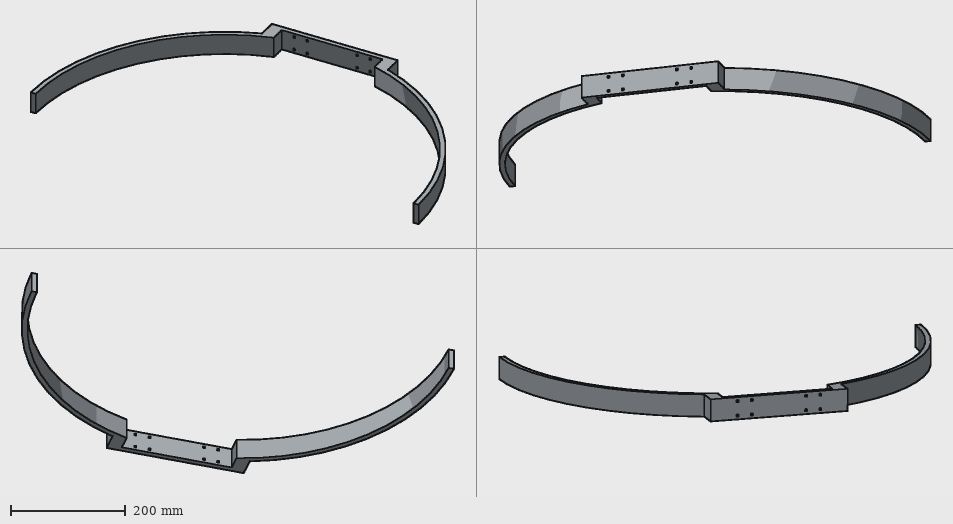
import cadquery as cq
import math

outer_radius = 385.0
band_thickness = 10.0
inner_radius = outer_radius - band_thickness
height = 40.0

bracket_back_y = 400.0
bracket_wall = 10.0
pocket_width = 200.0
side_wall = 25.0
bracket_width = pocket_width + 2 * side_wall
pocket_back_y = bracket_back_y - bracket_wall

hole_diameter = 4.0
hole_spacing = 26.0
group_offset_x = 62.5


def point_on_circle(radius, angle):
    return (radius * math.cos(angle), radius * math.sin(angle))


def mirrored(point):
    return (-point[0], point[1])


def make_band():
    """Half ring broken at the crown by the bracket, as one closed outline."""
    half_width = bracket_width / 2
    half_pocket = pocket_width / 2
    outer_angle = math.acos(half_width / outer_radius)
    inner_angle = math.acos(half_pocket / inner_radius)
    outer_joint = point_on_circle(outer_radius, outer_angle)
    inner_joint = point_on_circle(inner_radius, inner_angle)
    outer_middle = point_on_circle(outer_radius, outer_angle / 2)
    inner_middle = point_on_circle(inner_radius, inner_angle / 2)

    return (
        cq.Workplane("XY")
        .moveTo(outer_radius, 0)
        .threePointArc(outer_middle, outer_joint)
        .lineTo(half_width, bracket_back_y)
        .lineTo(-half_width, bracket_back_y)
        .lineTo(*mirrored(outer_joint))
        .threePointArc(mirrored(outer_middle), (-outer_radius, 0))
        .lineTo(-inner_radius, 0)
        .threePointArc(mirrored(inner_middle), mirrored(inner_joint))
        .lineTo(-half_pocket, pocket_back_y)
        .lineTo(half_pocket, pocket_back_y)
        .lineTo(*inner_joint)
        .threePointArc(inner_middle, (inner_radius, 0))
        .close()
        .extrude(height)
    )


def make_screw_holes():
    """Cylinders running through the back wall of the bracket along Y."""
    half_spacing = hole_spacing / 2
    centres = [
        (side * group_offset_x + dx, height / 2 + dz)
        for side in (-1, 1)
        for dx in (-half_spacing, half_spacing)
        for dz in (-half_spacing, half_spacing)
    ]
    return (
        cq.Workplane("XZ", origin=(0, bracket_back_y, 0))
        .pushPoints(centres)
        .circle(hole_diameter / 2)
        .extrude(bracket_wall)
    )


result = make_band().cut(make_screw_holes())